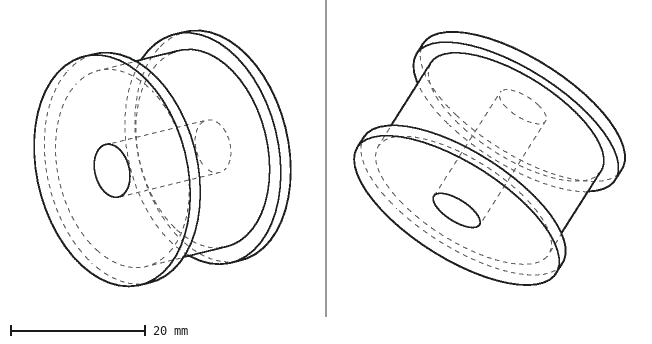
import cadquery as cq

flange_diameter = 35.0
hub_diameter = 30.0
bore_diameter = 8.0
spool_width = 20.0
flange_thickness = 2.0


def disc(diameter, start_y, length):
    """Solid cylinder along Y, running from start_y toward +Y."""
    return (
        cq.Workplane("XZ", origin=(0, start_y, 0))
        .circle(diameter / 2)
        .extrude(-length)
    )


front_y = -spool_width / 2
back_flange_y = spool_width / 2 - flange_thickness

spool = disc(hub_diameter, front_y, spool_width)
for flange_y in (front_y, back_flange_y):
    spool = spool.union(disc(flange_diameter, flange_y, flange_thickness))

result = spool.cut(disc(bore_diameter, front_y, spool_width))